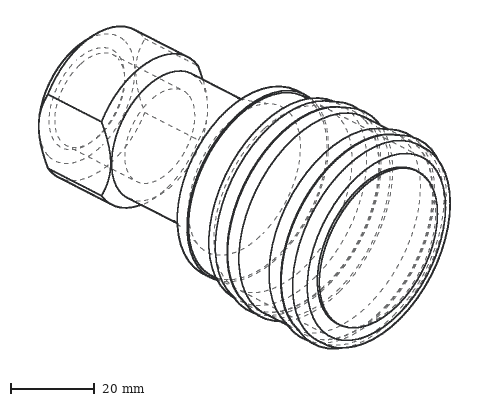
import cadquery as cq
import math

LENGTH = 96.0

NUT_DIA = 39.8
NUT_LENGTH = 24.0
NUT_FLATS = 33.8
NECK_DIA = 33.5
NUT_CHAMFER = (NUT_DIA - NECK_DIA) / 2

BORE_DIA = 24.5
BORE_DEPTH = NUT_LENGTH
BORE_CHAMFER = 1.0

FLARE_START = 41.0
FLARE_END_DIA = 39.2
FLARE_SAG = 0.2

COLLAR_START = 51.8
COLLAR_END = 56.3
COLLAR_DIA = 49.3
COLLAR_FILLET = 2.1
SHANK_DIA = 48.3
NOSE_DIA = 41.3

SLEEVE_START = 64.5
SLEEVE_END = 95.3
SLEEVE_DIA = 52.8
SLEEVE_FILLET = 1.0

RIDGE_DIA = 55.1
RIDGE_PAIR_STARTS = (67.2, 84.9)
RIDGE_PITCH = 3.8
RIDGE_CREST_RADIUS = 0.5
RIDGE_RAMP_ANGLE = math.radians(19)
VALLEY_DIA = 53.0


def revolve_about_x(profile):
    """Turn a closed XY profile once around the X axis."""
    return profile.revolve(360, (0, 0, 0), (1, 0, 0))


def rod(start, end, diameter):
    """A plain cylinder along X."""
    return cq.Workplane("YZ", origin=(start, 0, 0)).circle(diameter / 2).extrude(end - start)


def turned_body():
    """The body of revolution from nut to nose, before the flats and the bore."""
    nut_radius = NUT_DIA / 2
    neck_radius = NECK_DIA / 2
    flare_radius = FLARE_END_DIA / 2
    collar_radius = COLLAR_DIA / 2
    shank_radius = SHANK_DIA / 2
    nose_radius = NOSE_DIA / 2
    flare_middle = ((FLARE_START + COLLAR_START) / 2, (neck_radius + flare_radius) / 2 - FLARE_SAG)
    profile = (
        cq.Workplane("XY")
        .moveTo(0, 0)
        .lineTo(0, neck_radius)
        .lineTo(NUT_CHAMFER, nut_radius)
        .lineTo(NUT_LENGTH - NUT_CHAMFER, nut_radius)
        .lineTo(NUT_LENGTH, neck_radius)
        .lineTo(FLARE_START, neck_radius)
        .threePointArc(flare_middle, (COLLAR_START, flare_radius))
        .lineTo(COLLAR_START, collar_radius - COLLAR_FILLET)
        .radiusArc((COLLAR_START + COLLAR_FILLET, collar_radius), COLLAR_FILLET)
        .lineTo(COLLAR_END, collar_radius)
        .lineTo(COLLAR_END, shank_radius)
        .lineTo(SLEEVE_END, shank_radius)
        .lineTo(SLEEVE_END, nose_radius)
        .lineTo(LENGTH, nose_radius)
        .lineTo(LENGTH, 0)
        .close()
    )
    return revolve_about_x(profile)


def cut_flats(body):
    """Cut the two wrench flats, on -Y and +Y, along the nut."""
    flat_limit = cq.Workplane("XY").box(NUT_LENGTH, NUT_FLATS, NUT_DIA, centered=(False, True, True))
    waste = rod(0, NUT_LENGTH, NUT_DIA).cut(flat_limit)
    return body.cut(waste)


def cut_bore(body):
    """Cut the blind bore and the chamfer at its mouth."""
    bore_radius = BORE_DIA / 2
    profile = (
        cq.Workplane("XY")
        .moveTo(0, 0)
        .lineTo(0, bore_radius + BORE_CHAMFER)
        .lineTo(BORE_CHAMFER, bore_radius)
        .lineTo(BORE_DEPTH, bore_radius)
        .lineTo(BORE_DEPTH, 0)
        .close()
    )
    return body.cut(revolve_about_x(profile))


def make_body():
    return cut_bore(cut_flats(turned_body()))


def ridge(start):
    """One saw-tooth ridge around the sleeve, as a ring on the shank."""
    sleeve_radius = SLEEVE_DIA / 2
    crest_centre_radius = RIDGE_DIA / 2 - RIDGE_CREST_RADIUS
    ramp_top_radius = crest_centre_radius + RIDGE_CREST_RADIUS * math.cos(RIDGE_RAMP_ANGLE)
    ramp_end = start + (ramp_top_radius - sleeve_radius) / math.tan(RIDGE_RAMP_ANGLE)
    back = ramp_end + RIDGE_CREST_RADIUS * (1 + math.sin(RIDGE_RAMP_ANGLE))
    profile = (
        cq.Workplane("XY")
        .moveTo(start, SHANK_DIA / 2)
        .lineTo(start, sleeve_radius)
        .lineTo(ramp_end, ramp_top_radius)
        .radiusArc((back, crest_centre_radius), RIDGE_CREST_RADIUS)
        .lineTo(back, SHANK_DIA / 2)
        .close()
    )
    return revolve_about_x(profile)


def ridge_pair(start):
    """Two ridges one pitch apart, with the raised valley floor between them."""
    second_start = start + RIDGE_PITCH
    valley_end = second_start + (VALLEY_DIA - SLEEVE_DIA) / 2 / math.tan(RIDGE_RAMP_ANGLE)
    valley = rod(start + RIDGE_PITCH / 2, valley_end, VALLEY_DIA).cut(rod(start, valley_end, SHANK_DIA))
    return ridge(start).union(ridge(second_start)).union(valley)


def make_sleeve():
    """The grip sleeve: a ring with rounded outer ends and two pairs of ridges."""
    sleeve = rod(SLEEVE_START, SLEEVE_END, SLEEVE_DIA).edges().fillet(SLEEVE_FILLET)
    sleeve = sleeve.cut(rod(SLEEVE_START, SLEEVE_END, SHANK_DIA))
    for start in RIDGE_PAIR_STARTS:
        sleeve = sleeve.union(ridge_pair(start))
    return sleeve


body = make_body()
sleeve = make_sleeve()
result = cq.Compound.makeCompound([body.val(), sleeve.val()])